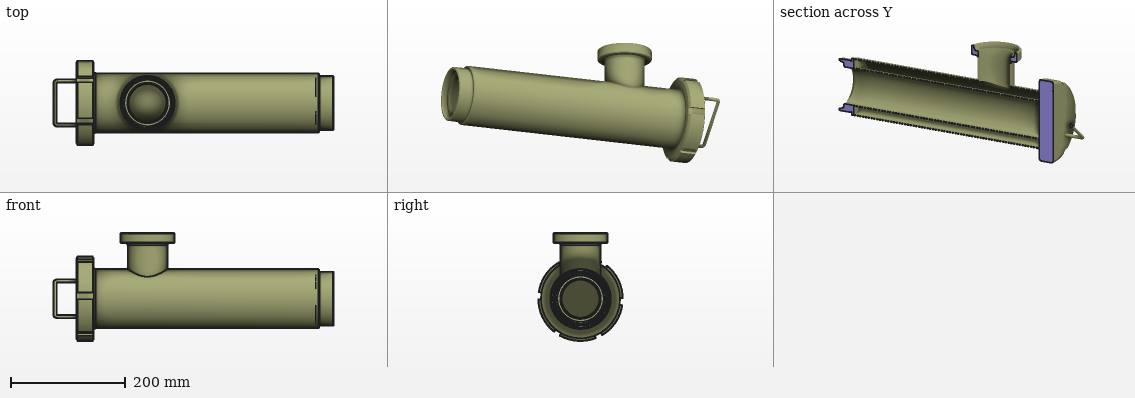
import cadquery as cq
import math


tube_od = 104.0
tube_id = 100.0
tube_end_x = 424.0
end_chamfer = 1.5
end_wall = 6.0

collar_od = 106.0
collar_end_x = 34.0

nut_od = 148.0
nut_width = 31.0
nut_face_d = 138.0
nut_chamfer_length = 2.5
slot_count = 6
slot_width = 12.0
slot_floor_radius = nut_face_d / 2
slot_phase = 26.0
cover_d = 113.8
nut_opening_d = 114.0
cover_gap_depth = 5.0

handle_rod_d = 6.0
handle_reach = 40.0
handle_spacing = 99.0
handle_bend_radius = 5.0
handle_angle = 39.0
handle_embed = 3.0

coupling_od = 95.0
coupling_chamfer = 1.5
seat_mouth_d = 87.0
seat_floor_d = 80.8
seat_depth = 9.0
ledge_d = 71.0
ledge_depth = 1.0
bore_d = 66.0

port_x = 124.5
port_top_z = 115.0
port_pipe_od = 70.0
port_flange_height = 18.0
port_neck_d = 73.0
port_neck_height = 3.5

outlet_x = 449.5
outlet_neck_d = 93.0
outlet_neck_length = 1.5

insert_od = 70.0


def revolve_about_x(points):
    """Solid of revolution about X from (x, radius) points."""
    return cq.Workplane("XY").polyline(points).close().revolve(360, (0, 0, 0), (1, 0, 0))


def revolve_about_port(points):
    """Solid of revolution about the side port axis from (radius, z) points."""
    solid = cq.Workplane("XZ").polyline(points).close().revolve(360, (0, 0, 0), (0, 1, 0))
    return solid.translate((port_x, 0, 0))


def cylinder_x(diameter, start, end):
    return cq.Workplane("YZ").workplane(offset=start).circle(diameter / 2).extrude(end - start)


def seat_points(face, bottom):
    """(radius, height) outline of a conical seat, ledge and bore below a coupling face."""
    seat_floor = face - seat_depth
    ledge_floor = seat_floor - ledge_depth
    return [
        (0, face),
        (seat_mouth_d / 2, face),
        (seat_floor_d / 2, seat_floor),
        (ledge_d / 2, seat_floor),
        (ledge_d / 2, ledge_floor),
        (bore_d / 2, ledge_floor),
        (bore_d / 2, bottom),
        (0, bottom),
    ]


def make_nut():
    """Chamfered nut and cover, with spanner slots and the thin gap around the cover."""
    nut = revolve_about_x([
        (0, 0),
        (0, nut_face_d / 2),
        (nut_chamfer_length, nut_od / 2),
        (nut_width - nut_chamfer_length, nut_od / 2),
        (nut_width, nut_face_d / 2),
        (nut_width, 0),
    ])
    slot_depth = nut_od / 2 - slot_floor_radius
    slot = cq.Workplane("XY").box(nut_width, slot_width, slot_depth, centered=(False, True, False))
    slot = slot.translate((0, 0, slot_floor_radius))
    for index in range(slot_count):
        angle = slot_phase + index * 360 / slot_count
        nut = nut.cut(slot.rotate((0, 0, 0), (1, 0, 0), angle))
    gap = cylinder_x(nut_opening_d, 0, cover_gap_depth).cut(cylinder_x(cover_d, 0, cover_gap_depth))
    return nut.cut(gap)


def make_tube():
    """Collar, tube and closed far end, before the inside is hollowed."""
    return revolve_about_x([
        (nut_width, 0),
        (nut_width, collar_od / 2),
        (collar_end_x, tube_od / 2),
        (tube_end_x - end_chamfer, tube_od / 2),
        (tube_end_x, tube_od / 2 - end_chamfer),
        (tube_end_x, 0),
    ])


def make_outlet():
    """Coupling on the far end of the tube."""
    return revolve_about_x([
        (tube_end_x, 0),
        (tube_end_x, outlet_neck_d / 2),
        (tube_end_x + outlet_neck_length, coupling_od / 2),
        (outlet_x - coupling_chamfer, coupling_od / 2),
        (outlet_x, coupling_od / 2 - coupling_chamfer),
        (outlet_x, 0),
    ])


def make_port():
    """Side pipe, tapered neck and coupling flange, before boring."""
    flange_bottom = port_top_z - port_flange_height
    neck_bottom = flange_bottom - port_neck_height
    return revolve_about_port([
        (0, 0),
        (port_pipe_od / 2, 0),
        (port_pipe_od / 2, neck_bottom),
        (port_neck_d / 2, flange_bottom),
        (coupling_od / 2 - coupling_chamfer, flange_bottom),
        (coupling_od / 2, flange_bottom + coupling_chamfer),
        (coupling_od / 2, port_top_z - coupling_chamfer),
        (coupling_od / 2 - coupling_chamfer, port_top_z),
        (0, port_top_z),
    ])


def make_handle():
    """Round rod bent into a U, both legs set into the cover."""
    half = handle_spacing / 2
    bar_x = handle_rod_d / 2 - handle_reach
    bend = handle_bend_radius
    bend_inset = bend * (1 - math.sqrt(0.5))
    path = (
        cq.Workplane("XY")
        .moveTo(handle_embed, -half)
        .lineTo(bar_x + bend, -half)
        .threePointArc((bar_x + bend_inset, bend_inset - half), (bar_x, bend - half))
        .lineTo(bar_x, half - bend)
        .threePointArc((bar_x + bend_inset, half - bend_inset), (bar_x + bend, half))
        .lineTo(handle_embed, half)
    )
    profile = cq.Workplane("YZ", origin=(handle_embed, -half, 0)).circle(handle_rod_d / 2)
    return profile.sweep(path).rotate((0, 0, 0), (1, 0, 0), handle_angle)


def make_chamber():
    """Annular space between the tube wall and the filter insert."""
    inner_end_x = tube_end_x - end_wall
    chamber = cylinder_x(tube_id, nut_width, inner_end_x)
    return chamber.cut(cylinder_x(insert_od, nut_width, inner_end_x))


def make_port_bore():
    """Seat and bore of the side port, stopping at the filter insert."""
    bore = revolve_about_port(seat_points(port_top_z, 0))
    return bore.cut(cylinder_x(insert_od, nut_width, tube_end_x))


def make_outlet_bore():
    """Seat and bore of the outlet, running through the insert up to the cover."""
    outline = seat_points(outlet_x, nut_width)
    return revolve_about_x([(height, radius) for radius, height in outline])


result = make_nut().union(make_tube()).union(make_outlet()).union(make_port()).union(make_handle())
result = result.cut(make_chamber()).cut(make_port_bore()).cut(make_outlet_bore())